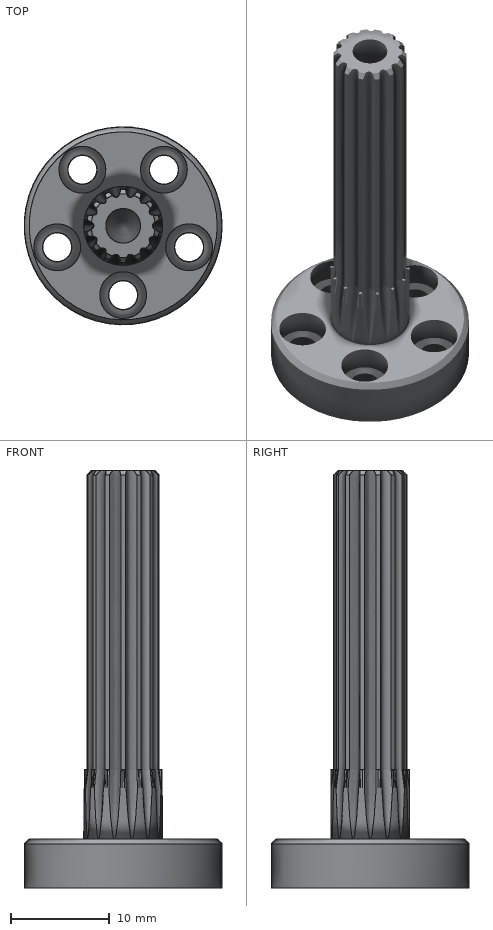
import cadquery as cq
import math

total_height = 42.2

flange_diameter = 20.0
flange_height = 5.0
flange_chamfer = 0.5
screw_count = 5
screw_circle_radius = 7.0
screw_hole_diameter = 2.9
counterbore_diameter = 4.73
counterbore_depth = 2.5

shoulder_diameter = 7.98
shoulder_height = 7.0
spline_diameter = 7.4
spline_chamfer = 0.45
bore_diameter = 3.5
bore_depth = 5.9
drill_point_angle = 118.0

groove_count = 14
root_diameter = 5.9
groove_width = 1.2
mouth_width = 1.5

shoulder_top = flange_height + shoulder_height
groove_pitch_angle = 360.0 / groove_count


def make_flange():
    """Chamfered disc with a ring of counterbored screw holes."""
    disc = cq.Workplane("XY").circle(flange_diameter / 2).extrude(flange_height)
    disc = disc.faces(">Z").chamfer(flange_chamfer)
    return (
        disc.faces(">Z")
        .workplane()
        .polarArray(screw_circle_radius, -90, 360, screw_count)
        .cboreHole(screw_hole_diameter, counterbore_diameter, counterbore_depth)
    )


def make_groove_section():
    """Groove outline at the shoulder top, on the +X side and open past the shoulder surface."""
    root = root_diameter / 2
    lip_y = groove_width / 2
    lip_x = math.sqrt((spline_diameter / 2) ** 2 - lip_y**2)
    mouth_y = mouth_width / 2
    mouth_x = shoulder_diameter / 2
    control_x = 2 * root - lip_x
    return (
        cq.Workplane("XY", origin=(0, 0, shoulder_top))
        .moveTo(mouth_x, -mouth_y)
        .lineTo(lip_x, -mouth_y)
        .lineTo(lip_x, -lip_y)
        .bezier([(control_x, 0), (lip_x, lip_y)], includeCurrent=True)
        .lineTo(lip_x, mouth_y)
        .lineTo(mouth_x, mouth_y)
        .close()
    )


def make_groove():
    """Straight groove along the spline with a run-out that rises through the shoulder."""
    straight = make_groove_section().extrude(total_height - shoulder_top)
    rise = (shoulder_diameter - root_diameter) / 2
    run_out_path = cq.Workplane("XZ").moveTo(0, shoulder_top).lineTo(rise, flange_height)
    run_out = make_groove_section().sweep(run_out_path)
    return straight.union(run_out)


def make_shaft():
    """Splined shaft with a wider shoulder and a drilled centre bore in its end."""
    shaft = (
        cq.Workplane("XY", origin=(0, 0, flange_height))
        .circle(shoulder_diameter / 2)
        .extrude(shoulder_height)
    )
    spline = (
        cq.Workplane("XY", origin=(0, 0, shoulder_top))
        .circle(spline_diameter / 2)
        .extrude(total_height - shoulder_top)
        .faces(">Z")
        .chamfer(spline_chamfer)
    )
    shaft = shaft.union(spline)
    groove = make_groove()
    for index in range(groove_count):
        shaft = shaft.cut(groove.rotate((0, 0, 0), (0, 0, 1), index * groove_pitch_angle))
    drill_point = bore_diameter / 2 / math.tan(math.radians(drill_point_angle / 2))
    bore = (
        cq.Workplane("XZ")
        .moveTo(0, total_height)
        .lineTo(bore_diameter / 2, total_height)
        .lineTo(bore_diameter / 2, total_height - bore_depth)
        .lineTo(0, total_height - bore_depth - drill_point)
        .close()
        .revolve()
    )
    return shaft.cut(bore)


flange = make_flange()
shaft = make_shaft()
result = cq.Compound.makeCompound([flange.val(), shaft.val()])